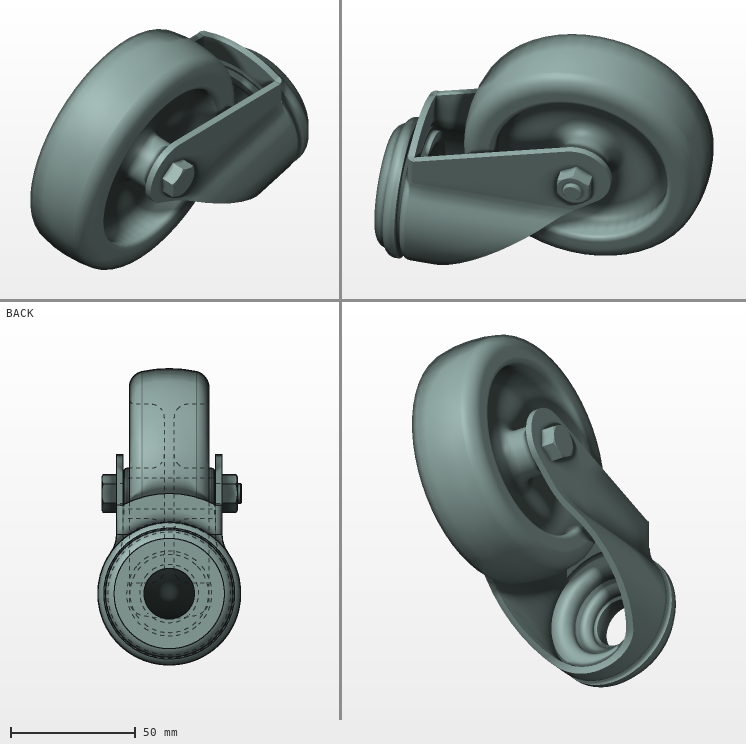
import cadquery as cq
import math


AXLE_HEIGHT = 40.0
SHEET = 2.7

TREAD_RADIUS = 50.0
TREAD_EDGE_RADIUS = 48.8
TREAD_EDGE_X = 10.9
WHEEL_HALF_WIDTH = 16.0
SHOULDER_RADIUS = 42.1
RIM_INNER_RADIUS = 35.7
RIM_ROUND = 2.1
RIM_FILLET = 5.5
WEB_HALF_THICKNESS = 2.0
HUB_RADIUS = 10.1
HUB_HALF_LENGTH = 18.1
HUB_ROUND = 1.2

SPACER_RADIUS = 6.2
BOLT_RADIUS = 4.0
BOLT_END_X = 29.0
BOLT_CHAMFER = 0.5
HEX_ACROSS_FLATS = 13.0
HEX_CHAMFER_ANGLE = 30
NUT_HEIGHT = 6.1
BOLT_HEAD_HEIGHT = 5.8

LEG_OUTER_X = 21.1
SHELL_RADIUS = 28.5
BLEND_START_Z = 23.5
PLATE_BACK_Y = 69.9
PLATE_TOP_Z = 40.0
PLATE_CORNER_Z = 35.5
LEG_TOP_START_Z = 35.2
EYE_RADIUS = 14.0
EYE_RISE = 1.6
LEG_BOTTOM_ANGLE = 37.2
SCOOP_RADIUS = 14.6
SCOOP_END_Y = 62.0

DISH_BACK_Y = 72.5
DISH_COLLAR_RADIUS = 25.4
DISH_COLLAR_LENGTH = 0.8
DISH_FLOOR_Y = 67.8
MOUTH_EDGE_ROUND = 2.9

HEAD_BACK_Y = 82.9
HEAD_STEP_Y = 78.5
HEAD_FRONT_Y = 73.2
HEAD_RIM_Y = 75.0
HEAD_BACK_RADIUS = 22.0
HEAD_CROWN_RADIUS = 25.5
HEAD_STEP_RADIUS = 26.2
HEAD_CROWN_MIDDLE = (24.5, 81.2)
HEAD_RIM_MIDDLE = (27.8, 77.2)
BOSS_RADIUS = 24.6
BOSS_FRONT_Y = 65.1
MOUTH_ROUND = 4.5
MOUTH_RADIUS = 17.0
SEAT_Y = 72.3
SEAT_CHAMFER = 1.3
SEAT_INNER_RADIUS = 14.9
THROAT_RADIUS = 11.7
BORE_RADIUS = 10.1
BORE_STEP_Y = 76.3

DISH_ROUND = SHELL_RADIUS - DISH_COLLAR_RADIUS
DISH_SHOULDER_Y = DISH_BACK_Y - DISH_COLLAR_LENGTH
DISH_RIM_Y = DISH_SHOULDER_Y - DISH_ROUND
LEG_INNER_X = LEG_OUTER_X - SHEET
SHELL_INNER_RADIUS = SHELL_RADIUS - SHEET
PLATE_FRONT_Y = PLATE_BACK_Y - SHEET
BLEND_RADIUS = (LEG_OUTER_X**2 + BLEND_START_Z**2 - SHELL_RADIUS**2) / (2 * (SHELL_RADIUS - LEG_OUTER_X))
BLEND_CENTER_X = LEG_OUTER_X + BLEND_RADIUS
CLEAR = 132.9


def make_tread():
    """Full-width disc with a crowned tread and rounded shoulders."""
    return (
        cq.Workplane("XY")
        .moveTo(-WHEEL_HALF_WIDTH, 0)
        .lineTo(-WHEEL_HALF_WIDTH, SHOULDER_RADIUS)
        .tangentArcPoint((-TREAD_EDGE_X, TREAD_EDGE_RADIUS), relative=False)
        .threePointArc((0, TREAD_RADIUS), (TREAD_EDGE_X, TREAD_EDGE_RADIUS))
        .tangentArcPoint((WHEEL_HALF_WIDTH, SHOULDER_RADIUS), relative=False)
        .lineTo(WHEEL_HALF_WIDTH, 0)
        .close()
        .revolve(360, (0, 0, 0), (1, 0, 0))
    )


def make_side_pocket():
    """Ring-shaped pocket between hub and rim on the +X side, with rounded floor corners and mouth."""
    fillet_x = WEB_HALF_THICKNESS + RIM_FILLET
    round_x = WHEEL_HALF_WIDTH - RIM_ROUND
    return (
        cq.Workplane("XY")
        .moveTo(WHEEL_HALF_WIDTH, HUB_RADIUS)
        .lineTo(fillet_x, HUB_RADIUS)
        .radiusArc((WEB_HALF_THICKNESS, HUB_RADIUS + RIM_FILLET), RIM_FILLET)
        .lineTo(WEB_HALF_THICKNESS, RIM_INNER_RADIUS - RIM_FILLET)
        .radiusArc((fillet_x, RIM_INNER_RADIUS), RIM_FILLET)
        .lineTo(round_x, RIM_INNER_RADIUS)
        .radiusArc((WHEEL_HALF_WIDTH, RIM_INNER_RADIUS + RIM_ROUND), -RIM_ROUND)
        .close()
        .revolve(360, (0, 0, 0), (1, 0, 0))
    )


def make_wheel():
    """Wheel with crowned tread, dished web and hub, bored for the axle spacer."""
    pocket = make_side_pocket()
    hub = cq.Workplane("YZ").circle(HUB_RADIUS).extrude(HUB_HALF_LENGTH, both=True)
    hub = hub.faces("<X or >X").edges().fillet(HUB_ROUND)
    bore = cq.Workplane("YZ").circle(SPACER_RADIUS).extrude(HUB_HALF_LENGTH, both=True)
    wheel = make_tread().cut(pocket).cut(pocket.mirror("YZ")).union(hub).cut(bore)
    return wheel.translate((0, 0, AXLE_HEIGHT))


def axle_cylinder(radius, start_x, end_x):
    """Cylinder along the axle line between two X positions."""
    return cq.Workplane("YZ", origin=(start_x, 0, AXLE_HEIGHT)).circle(radius).extrude(end_x - start_x)


def make_hexagon(start_x, height):
    """Hexagon growing outward from start_x, its outer corners trimmed by a cone."""
    direction = math.copysign(1, start_x)
    corner_radius = HEX_ACROSS_FLATS / math.sqrt(3)
    flat_radius = HEX_ACROSS_FLATS / 2
    corner_drop = (corner_radius - flat_radius) * math.tan(math.radians(HEX_CHAMFER_ANGLE))
    hexagon = (
        cq.Workplane("YZ")
        .polygon(6, 2 * corner_radius)
        .extrude(direction * height)
        .rotate((0, 0, 0), (1, 0, 0), 30)
    )
    cone_envelope = (
        cq.Workplane("XY")
        .polyline(
            [
                (0, 0),
                (direction * height, 0),
                (direction * height, flat_radius),
                (direction * (height - corner_drop), corner_radius),
                (0, corner_radius),
            ]
        )
        .close()
        .revolve(360, (0, 0, 0), (1, 0, 0))
    )
    return hexagon.intersect(cone_envelope).translate((start_x, 0, AXLE_HEIGHT))


def make_axle():
    """Bolt with its head and nut outside the legs and the spacer between them."""
    bolt = axle_cylinder(BOLT_RADIUS, -BOLT_END_X, LEG_OUTER_X).faces("<X").chamfer(BOLT_CHAMFER)
    spacer = axle_cylinder(SPACER_RADIUS, -LEG_INNER_X, LEG_INNER_X)
    nut = make_hexagon(-LEG_OUTER_X, NUT_HEIGHT)
    head = make_hexagon(LEG_OUTER_X, BOLT_HEAD_HEIGHT)
    return bolt.union(spacer).union(nut).union(head)


def make_outline(inset, start_y):
    """Keyhole-shaped block (straight legs flaring into a circle), running from start_y toward -Y."""
    leg_x = LEG_OUTER_X - inset
    radius = SHELL_RADIUS - inset
    tangent_scale = radius / math.hypot(BLEND_CENTER_X, BLEND_START_Z)
    tangent_x = BLEND_CENTER_X * tangent_scale
    tangent_z = BLEND_START_Z * tangent_scale
    return (
        cq.Workplane("XZ", origin=(0, start_y, 0))
        .moveTo(-leg_x, CLEAR)
        .lineTo(-leg_x, BLEND_START_Z)
        .tangentArcPoint((-tangent_x, tangent_z), relative=False)
        .threePointArc((0, -radius), (tangent_x, tangent_z))
        .tangentArcPoint((leg_x, BLEND_START_Z), relative=False)
        .lineTo(leg_x, CLEAR)
        .close()
        .extrude(start_y + CLEAR)
    )


def make_side_profile():
    """Side silhouette of the sheet: plate, tapering legs with round eyes, scooped underside."""
    eye_z = AXLE_HEIGHT + EYE_RISE
    run = PLATE_FRONT_Y
    rise = eye_z - LEG_TOP_START_Z
    top_angle = math.atan2(rise, run) + math.asin(EYE_RADIUS / math.hypot(run, rise))
    top_tangent = (EYE_RADIUS * math.sin(top_angle), eye_z + EYE_RADIUS * math.cos(top_angle))
    slope = math.radians(LEG_BOTTOM_ANGLE)
    bottom_tangent = (-EYE_RADIUS * math.sin(slope), eye_z - EYE_RADIUS * math.cos(slope))
    scoop_start_y = SCOOP_END_Y - SCOOP_RADIUS * (1 - math.sin(slope))
    scoop_start_z = bottom_tangent[1] - (scoop_start_y - bottom_tangent[0]) * math.tan(slope)
    scoop_end_z = scoop_start_z - SCOOP_RADIUS * math.cos(slope)
    profile_bottom_z = min(scoop_end_z, -SHELL_RADIUS) - SHEET
    return (
        cq.Workplane("YZ")
        .moveTo(DISH_BACK_Y, PLATE_TOP_Z)
        .lineTo(PLATE_FRONT_Y, PLATE_TOP_Z)
        .lineTo(PLATE_FRONT_Y, LEG_TOP_START_Z)
        .lineTo(*top_tangent)
        .threePointArc((-EYE_RADIUS, eye_z), bottom_tangent)
        .lineTo(scoop_start_y, scoop_start_z)
        .tangentArcPoint((SCOOP_END_Y, scoop_end_z), relative=False)
        .lineTo(SCOOP_END_Y, profile_bottom_z)
        .lineTo(DISH_BACK_Y, profile_bottom_z)
        .close()
        .extrude(CLEAR, both=True)
    )


def make_back_envelope():
    """Shape of the fork's back: raised dish, plate with rounded bends, and room for the shell in front."""
    dish = (
        cq.Workplane("XY")
        .moveTo(0, DISH_RIM_Y)
        .lineTo(0, DISH_BACK_Y)
        .lineTo(DISH_COLLAR_RADIUS, DISH_BACK_Y)
        .lineTo(DISH_COLLAR_RADIUS, DISH_SHOULDER_Y)
        .radiusArc((SHELL_RADIUS, DISH_RIM_Y), DISH_ROUND)
        .close()
        .revolve(360, (0, 0, 0), (0, 1, 0))
    )
    shell_room = cq.Workplane("XY").box(2 * CLEAR, CLEAR, CLEAR, centered=(True, False, False))
    shell_room = shell_room.translate((0, DISH_RIM_Y - CLEAR, BLEND_START_Z - CLEAR))
    plate = cq.Workplane("XY").box(2 * LEG_OUTER_X, CLEAR, CLEAR, centered=(True, False, False))
    plate = plate.edges("|Z and >Y").fillet(SHEET)
    plate = plate.translate((0, PLATE_BACK_Y - CLEAR, BLEND_START_Z))
    return dish.union(shell_room).union(plate)


def make_plate_trim():
    """Region above the arched top edge of the plate."""
    return (
        cq.Workplane("XZ", origin=(0, PLATE_BACK_Y, 0))
        .moveTo(-LEG_OUTER_X, PLATE_CORNER_Z)
        .lineTo(-LEG_INNER_X, PLATE_CORNER_Z)
        .threePointArc((0, PLATE_TOP_Z), (LEG_INNER_X, PLATE_CORNER_Z))
        .lineTo(LEG_OUTER_X, PLATE_CORNER_Z)
        .lineTo(LEG_OUTER_X, CLEAR)
        .lineTo(-LEG_OUTER_X, CLEAR)
        .close()
        .extrude(SHEET)
    )


def make_dish_recess():
    """Shallow round recess in the front of the plate, with a groove behind its rounded mouth."""
    recess = (
        cq.Workplane("XY")
        .moveTo(0, DISH_FLOOR_Y)
        .lineTo(SHELL_INNER_RADIUS, DISH_FLOOR_Y)
        .lineTo(SHELL_INNER_RADIUS, PLATE_FRONT_Y + MOUTH_EDGE_ROUND)
        .radiusArc((SHELL_INNER_RADIUS + MOUTH_EDGE_ROUND, PLATE_FRONT_Y), MOUTH_EDGE_ROUND)
        .lineTo(0, PLATE_FRONT_Y)
        .close()
        .revolve(360, (0, 0, 0), (0, 1, 0))
    )
    return recess.intersect(make_outline(SHEET, DISH_BACK_Y))


def make_swivel_head():
    """Turned head behind the fork with its neck and front boss, still solid."""
    return (
        cq.Workplane("XY")
        .moveTo(0, HEAD_BACK_Y)
        .lineTo(HEAD_BACK_RADIUS, HEAD_BACK_Y)
        .threePointArc(HEAD_CROWN_MIDDLE, (HEAD_CROWN_RADIUS, HEAD_STEP_Y))
        .lineTo(HEAD_STEP_RADIUS, HEAD_STEP_Y)
        .threePointArc(HEAD_RIM_MIDDLE, (SHELL_RADIUS, HEAD_RIM_Y))
        .lineTo(SHELL_RADIUS, HEAD_FRONT_Y)
        .lineTo(BOSS_RADIUS, HEAD_FRONT_Y)
        .lineTo(BOSS_RADIUS, BOSS_FRONT_Y)
        .lineTo(0, BOSS_FRONT_Y)
        .close()
        .revolve(360, (0, 0, 0), (0, 1, 0))
    )


def make_bore():
    """Stepped through bore of the head: rounded mouth, chamfered seat, rounded throat."""
    throat_round = SEAT_INNER_RADIUS - THROAT_RADIUS
    return (
        cq.Workplane("XY")
        .moveTo(0, BOSS_FRONT_Y)
        .lineTo(MOUTH_RADIUS + MOUTH_ROUND, BOSS_FRONT_Y)
        .radiusArc((MOUTH_RADIUS, BOSS_FRONT_Y + MOUTH_ROUND), MOUTH_ROUND)
        .lineTo(MOUTH_RADIUS, SEAT_Y - SEAT_CHAMFER)
        .lineTo(MOUTH_RADIUS - SEAT_CHAMFER, SEAT_Y)
        .lineTo(SEAT_INNER_RADIUS, SEAT_Y)
        .radiusArc((THROAT_RADIUS, SEAT_Y + throat_round), throat_round)
        .lineTo(THROAT_RADIUS, BORE_STEP_Y)
        .lineTo(BORE_RADIUS, BORE_STEP_Y)
        .lineTo(BORE_RADIUS, HEAD_BACK_Y)
        .lineTo(0, HEAD_BACK_Y)
        .close()
        .revolve(360, (0, 0, 0), (0, 1, 0))
    )


def make_fork():
    """Bent sheet fork with its dish and swivel head, drilled for the axle bolt."""
    fork = make_outline(0, DISH_BACK_Y).intersect(make_back_envelope())
    fork = fork.cut(make_outline(SHEET, PLATE_FRONT_Y)).cut(make_dish_recess())
    fork = fork.intersect(make_side_profile()).cut(make_plate_trim())
    fork = fork.union(make_swivel_head()).cut(make_bore())
    return fork.cut(axle_cylinder(BOLT_RADIUS, -LEG_OUTER_X, LEG_OUTER_X))


wheel = make_wheel()
axle = make_axle()
fork = make_fork()
result = cq.Compound.makeCompound([wheel.val(), axle.val(), fork.val()])